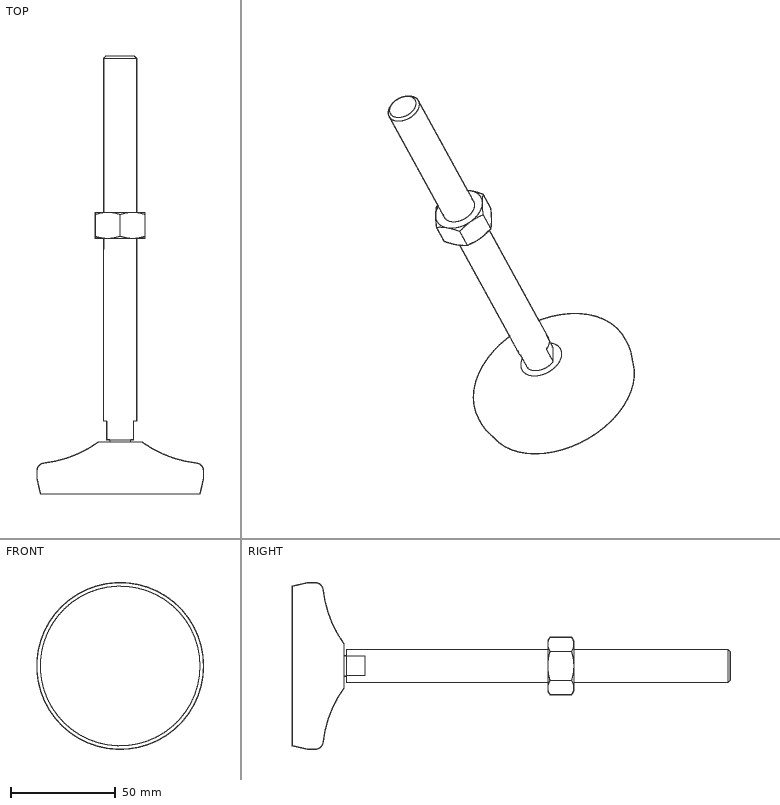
import cadquery as cq
import math


TOTAL_LENGTH = 210.0

PLATE_DIAMETER = 80.0
FLOOR_FACE_DIAMETER = 76.5
TAPER_HEIGHT = 7.5
RIM_TOP = 11.0
SHOULDER_RADIUS = 4.0
SHOULDER_END_SLOPE = 10.0
HOLLOW_RADIUS = 55.0
COLLAR_DIAMETER = 21.0
PLATE_HEIGHT = 25.0

STEM_DIAMETER = 16.0
STEM_START = 26.0
STEM_TIP_CHAMFER = 1.25
NECK_DIAMETER = 10.0
FLATS_WIDTH = 13.0
FLATS_LENGTH = 9.0

NUT_ACROSS_FLATS = 24.0
NUT_HEIGHT = 12.5
NUT_START = 122.5
NUT_CHAMFER_ANGLE = 30.0


def cylinder(diameter, start, end):
    """Solid cylinder on the Y axis between two Y positions."""
    plane = cq.Plane(origin=(0, start, 0), xDir=(1, 0, 0), normal=(0, 1, 0))
    return cq.Workplane(plane).circle(diameter / 2).extrude(end - start)


def revolve_about_y(profile):
    return profile.close().revolve(360, (0, 0, 0), (0, 1, 0))


def make_plate():
    """Tapered rim, rounded shoulder and a hollow-curved cone up to the collar."""
    rim_radius = PLATE_DIAMETER / 2
    slope = math.radians(SHOULDER_END_SLOPE)
    shoulder_end = (
        rim_radius - SHOULDER_RADIUS * (1 - math.sin(slope)),
        RIM_TOP + SHOULDER_RADIUS * math.cos(slope),
    )
    profile = (
        cq.Workplane("XY")
        .lineTo(FLOOR_FACE_DIAMETER / 2, 0)
        .lineTo(rim_radius, TAPER_HEIGHT)
        .lineTo(rim_radius, RIM_TOP)
        .tangentArcPoint(shoulder_end, relative=False)
        .radiusArc((COLLAR_DIAMETER / 2, PLATE_HEIGHT), HOLLOW_RADIUS)
        .lineTo(0, PLATE_HEIGHT)
    )
    return revolve_about_y(profile)


def make_stem():
    """Round stem with a chamfered tip and two wrench flats facing -X and +X."""
    stem = cylinder(STEM_DIAMETER, STEM_START, TOTAL_LENGTH)
    stem = stem.faces(">Y").chamfer(STEM_TIP_CHAMFER)
    flat_depth = (STEM_DIAMETER - FLATS_WIDTH) / 2
    for side in (-1, 1):
        cutter = cq.Workplane("XY").box(flat_depth, FLATS_LENGTH, STEM_DIAMETER)
        cutter_x = side * (FLATS_WIDTH + flat_depth) / 2
        stem = stem.cut(cutter.translate((cutter_x, STEM_START + FLATS_LENGTH / 2, 0)))
    return stem


def make_neck():
    """Short pin joining the stem to the plate, rooted inside both."""
    return cylinder(NECK_DIAMETER, PLATE_HEIGHT / 2, STEM_START + FLATS_LENGTH)


def make_nut():
    """Hexagon nut with flats facing -X and +X and its corners chamfered at both ends."""
    corner_radius = NUT_ACROSS_FLATS / math.sqrt(3)
    plane = cq.Plane(origin=(0, NUT_START, 0), xDir=(0, 0, 1), normal=(0, 1, 0))
    hexagon = cq.Workplane(plane).polygon(6, 2 * corner_radius).extrude(NUT_HEIGHT)

    face_radius = NUT_ACROSS_FLATS / 2
    chamfer_height = (corner_radius - face_radius) * math.tan(math.radians(NUT_CHAMFER_ANGLE))
    nut_end = NUT_START + NUT_HEIGHT
    envelope = (
        cq.Workplane("XY")
        .moveTo(0, NUT_START)
        .lineTo(face_radius, NUT_START)
        .lineTo(corner_radius, NUT_START + chamfer_height)
        .lineTo(corner_radius, nut_end - chamfer_height)
        .lineTo(face_radius, nut_end)
        .lineTo(0, nut_end)
    )
    return hexagon.intersect(revolve_about_y(envelope))


result = make_plate().union(make_neck()).union(make_stem()).union(make_nut())